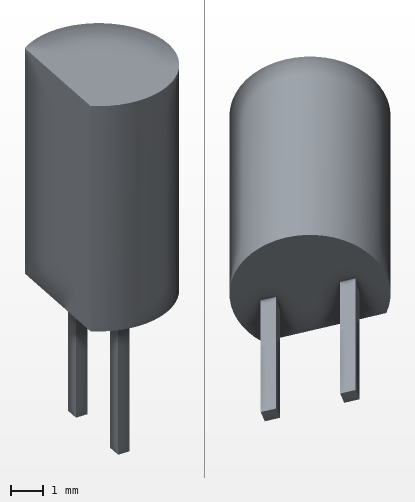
import cadquery as cq

total_height = 13.0
body_height = 8.0
body_diameter = 4.9
body_depth = 3.9
lead_pitch = 2.54
lead_width = 0.48
lead_thickness = 0.4

body_radius = body_diameter / 2
flat_y = body_radius - body_depth
lead_length = total_height - body_height


def make_body():
    """Round body standing on Z = 0, cut to a flat on the -Y side."""
    cylinder = cq.Workplane("XY").circle(body_radius).extrude(body_height)
    kept_block = (
        cq.Workplane("XY")
        .center(0, flat_y + body_depth / 2)
        .rect(body_diameter, body_depth)
        .extrude(body_height)
    )
    return cylinder.intersect(kept_block)


def make_leads():
    """Two rectangular leads hanging below the body, in line with its axis."""
    return (
        cq.Workplane("XY")
        .pushPoints([(-lead_pitch / 2, 0), (lead_pitch / 2, 0)])
        .rect(lead_width, lead_thickness)
        .extrude(-lead_length)
    )


result = make_body().union(make_leads())